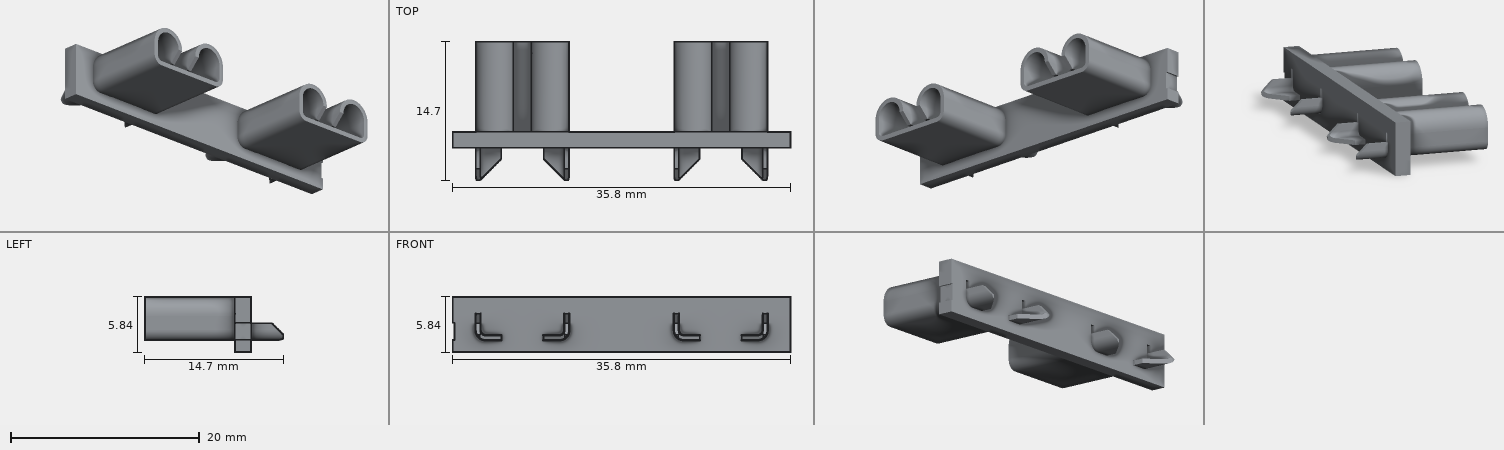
import cadquery as cq
import math

plate_length = 35.81
plate_thickness = 1.7
plate_height = 5.84
notch_depth = 0.2
notch_bottom = 1.29
notch_top = 3.1

clip_pitch = 21.0
clip_width = 9.9
clip_bottom = 1.27
sheet = 0.5
bend_radius = 1.05
curl_radius = 2.0
lip_length = 1.2
barrel_length = 9.55

overall_depth = 14.68
tab_reach = overall_depth - plate_thickness - barrel_length
tab_wing = 2.72
tab_height = 1.8
tab_wing_straight = 1.16
tab_wall_straight = 2.2
slot_height = 2.8
slot_clearance = 0.03

outer_x = clip_width / 2
inner_x = outer_x - sheet
bend_x = outer_x - bend_radius
bend_inner_radius = bend_radius - sheet
bend_center = (bend_x, clip_bottom + bend_radius)
bend_middle_angle = -45
curl_x = outer_x - curl_radius
curl_z = plate_height - curl_radius
lip_x = outer_x - 2 * curl_radius
lip_end = curl_z - lip_length
barrel_end = plate_thickness + barrel_length
sheet_top = clip_bottom + sheet
clip_centers = (-clip_pitch / 2, clip_pitch / 2)


def on_circle(center, radius, angle):
    """Point on a circle in the XZ plane, at an angle in degrees from +X toward +Z."""
    turn = math.radians(angle)
    return (center[0] + radius * math.cos(turn), center[1] + radius * math.sin(turn))


def extrude_along_y(section, start, end):
    return section.extrude(start - end).translate((0, start, 0))


def barrel_section():
    """Right half of the clip: floor, corner bend, side wall, curl and lip."""
    return (
        cq.Workplane("XZ")
        .moveTo(0, clip_bottom)
        .lineTo(bend_x, clip_bottom)
        .threePointArc(
            on_circle(bend_center, bend_radius, bend_middle_angle),
            (outer_x, bend_center[1]),
        )
        .lineTo(outer_x, curl_z)
        .threePointArc((curl_x, plate_height), (lip_x, curl_z))
        .lineTo(lip_x, lip_end)
        .lineTo(lip_x + sheet, lip_end)
        .lineTo(lip_x + sheet, curl_z)
        .threePointArc((curl_x, plate_height - sheet), (inner_x, curl_z))
        .lineTo(inner_x, bend_center[1])
        .threePointArc(
            on_circle(bend_center, bend_inner_radius, bend_middle_angle),
            (bend_x, sheet_top),
        )
        .lineTo(0, sheet_top)
        .close()
    )


def corner_section(height, clearance=0.0):
    """L-shaped right corner of the clip, widened by the clearance except at its top."""
    wing_x = outer_x - tab_wing - clearance
    left = inner_x - clearance
    right = outer_x + clearance
    bottom = clip_bottom - clearance
    step = sheet_top + clearance
    top = clip_bottom + height
    return (
        cq.Workplane("XZ")
        .moveTo(wing_x, bottom)
        .lineTo(bend_x, bottom)
        .threePointArc(
            on_circle(bend_center, bend_radius + clearance, bend_middle_angle),
            (right, bend_center[1]),
        )
        .lineTo(right, top)
        .lineTo(left, top)
        .lineTo(left, bend_center[1])
        .threePointArc(
            on_circle(bend_center, bend_inner_radius - clearance, bend_middle_angle),
            (bend_x, step),
        )
        .lineTo(wing_x, step)
        .close()
    )


def make_barrel():
    """Right half of the clip behind the plate, with a 45 degree lead-in on the lip's rear end."""
    barrel = extrude_along_y(barrel_section(), plate_thickness, barrel_end)
    lead_in = (
        cq.Workplane("YZ", origin=(lip_x, 0, 0))
        .polyline([
            (barrel_end, curl_z),
            (barrel_end, lip_end),
            (barrel_end - lip_length, lip_end),
        ])
        .close()
        .extrude(sheet)
    )
    return barrel.cut(lead_in)


def make_tab():
    """Right tab, with 45 degree tapers on the end of its wing and of its wall."""
    tab = extrude_along_y(corner_section(tab_height), -tab_reach, plate_thickness)

    wing_x = outer_x - tab_wing
    wing_taper = tab_reach - tab_wing_straight
    wing_cut = (
        cq.Workplane("XY")
        .polyline([
            (wing_x, -tab_wing_straight),
            (wing_x, -tab_reach),
            (wing_x + wing_taper, -tab_reach),
        ])
        .close()
        .extrude(plate_height)
    )

    wall_top = clip_bottom + tab_height
    wall_taper = tab_reach - tab_wall_straight
    wall_cut = (
        cq.Workplane("YZ")
        .polyline([
            (-tab_wall_straight, wall_top),
            (-tab_reach, wall_top),
            (-tab_reach, wall_top - wall_taper),
        ])
        .close()
        .extrude(clip_width)
    )
    return tab.cut(wing_cut).cut(wall_cut)


def make_clip(center_x):
    half = make_barrel().union(make_tab())
    clip = half.union(half.mirror("YZ")).clean()
    return clip.translate((center_x, 0, 0))


def make_plate():
    plate = cq.Workplane("XY").box(
        plate_length, plate_thickness, plate_height, centered=(True, False, False)
    )
    notch = (
        cq.Workplane("XY")
        .box(notch_depth, plate_thickness, notch_top - notch_bottom, centered=False)
        .translate((-plate_length / 2, 0, notch_bottom))
    )
    plate = plate.cut(notch)

    right_slot = extrude_along_y(corner_section(slot_height, slot_clearance), 0, plate_thickness)
    for center_x in clip_centers:
        for slot in (right_slot, right_slot.mirror("YZ")):
            plate = plate.cut(slot.translate((center_x, 0, 0)))
    return plate


plate = make_plate()
clips = [make_clip(center_x) for center_x in clip_centers]

result = cq.Compound.makeCompound([plate.val(), *[clip.val() for clip in clips]])